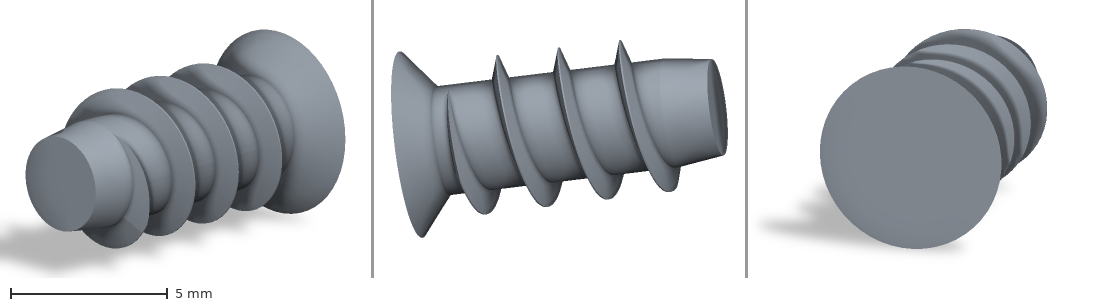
import cadquery as cq
import math

total_length = 10.0
tip_length = 1.5
head_height = 1.05
neck_length = 0.5

head_radius = 3.0
body_radius = 1.75
tip_radius = 1.55

thread_radius = 2.5
thread_pitch = 2.0
crest_width = 0.05
flank_angle = 19.0
thread_phase = 1.56
thread_turns = 5
root_overlap = 0.05

head_start = total_length - head_height
neck_start = head_start - neck_length
flank_slope = math.tan(math.radians(flank_angle))


def make_core():
    """Countersunk head, neck, body and tapered tip, turned about Z."""
    return (
        cq.Workplane("XZ")
        .polyline([
            (0, 0),
            (tip_radius, 0),
            (body_radius, tip_length),
            (body_radius, head_start),
            (head_radius, total_length),
            (0, total_length),
        ])
        .close()
        .revolve(360, (0, 0), (0, 1))
    )


def make_helical_ridge():
    """Full ridge, running past both ends of the threaded length."""
    root_radius = body_radius - root_overlap
    half_crest = crest_width / 2
    half_root = half_crest + flank_slope * (thread_radius - root_radius)
    start = thread_phase - thread_pitch
    helix = cq.Wire.makeHelix(thread_pitch, thread_turns * thread_pitch, body_radius)
    path = cq.Workplane(obj=helix.translate(cq.Vector(0, 0, start)))
    return (
        cq.Workplane("XZ")
        .polyline([
            (root_radius, start - half_root),
            (thread_radius, start - half_crest),
            (thread_radius, start + half_crest),
            (root_radius, start + half_root),
        ])
        .close()
        .sweep(path, isFrenet=True)
    )


def make_thread_envelope():
    """Ring whose conical ends, sloped like the flanks, make the thread run out."""
    outer_radius = thread_radius + thread_pitch / 2
    inner_radius = body_radius - 2 * root_overlap
    outer_inset = flank_slope * (outer_radius - body_radius)
    inner_inset = flank_slope * (inner_radius - body_radius)
    return (
        cq.Workplane("XZ")
        .polyline([
            (inner_radius, tip_length + inner_inset),
            (outer_radius, tip_length + outer_inset),
            (outer_radius, neck_start - outer_inset),
            (inner_radius, neck_start - inner_inset),
        ])
        .close()
        .revolve(360, (0, 0), (0, 1))
    )


thread = make_helical_ridge().intersect(make_thread_envelope())
screw = make_core().union(thread)

result = screw.rotate((0, 0, 0), (1, 0, 0), -90)